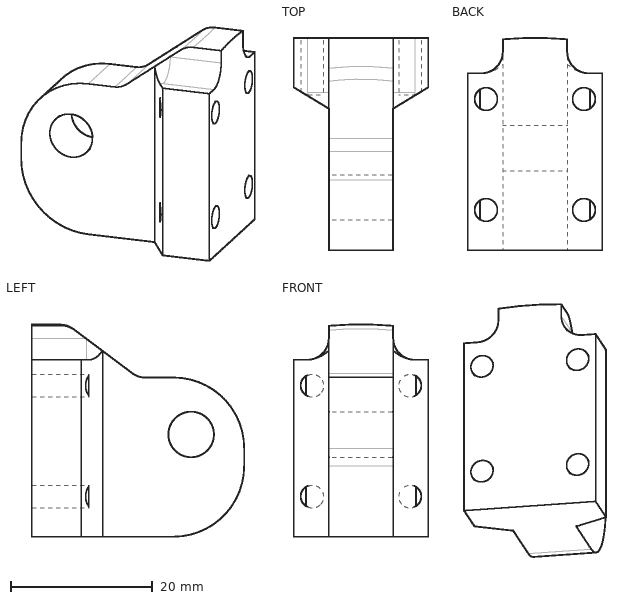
import cadquery as cq
import math

BASE_WIDTH = 19.0
BASE_HEIGHT = 25.0
BASE_FLANK_DEPTH = 7.0
BASE_ROOT_DEPTH = 10.0

LUG_WIDTH = 9.1
LUG_DEPTH = 30.0
LUG_HEIGHT = 22.5
NOSE_RADIUS = 10.0
PIVOT_DIAMETER = 6.4
PIVOT_DEPTH = 22.5
PIVOT_HEIGHT = 14.45

PEAK_HEIGHT = 30.0
RAMP_START_DEPTH = 5.0
RAMP_END_DEPTH = 15.0
CROWN_DROP = 0.2
BLEND_RADIUS = 3.0

SCREW_DIAMETER = 3.2
SCREW_DEPTH = 8.05
SCREW_SPACING = 13.8
SCREW_HEIGHTS = (5.7, 21.35)

HALF_BASE = BASE_WIDTH / 2
HALF_LUG = LUG_WIDTH / 2
RAMP_ANGLE = math.atan2(PEAK_HEIGHT - LUG_HEIGHT, RAMP_END_DEPTH - RAMP_START_DEPTH)


def base_block(height):
    """Prism with its front corners bevelled back from the lug sides."""
    outline = [
        (-HALF_BASE, 0),
        (-HALF_BASE, -BASE_FLANK_DEPTH),
        (-HALF_LUG, -BASE_ROOT_DEPTH),
        (HALF_LUG, -BASE_ROOT_DEPTH),
        (HALF_BASE, -BASE_FLANK_DEPTH),
        (HALF_BASE, 0),
    ]
    return cq.Workplane("XY").polyline(outline).close().extrude(height)


def ramp_plate(width):
    """Plate with the side profile of the lug, all corners still sharp."""
    profile = [
        (0, 0),
        (-LUG_DEPTH, 0),
        (-LUG_DEPTH, LUG_HEIGHT),
        (-RAMP_END_DEPTH, LUG_HEIGHT),
        (-RAMP_START_DEPTH, PEAK_HEIGHT),
        (0, PEAK_HEIGHT),
    ]
    return cq.Workplane("YZ").polyline(profile).close().extrude(width / 2, both=True)


def crowned_bar():
    """Bar along Y whose top is a shallow arc, peaking at x = 0."""
    side_height = PEAK_HEIGHT - CROWN_DROP
    return (
        cq.Workplane("XZ")
        .moveTo(-HALF_LUG, 0)
        .lineTo(HALF_LUG, 0)
        .lineTo(HALF_LUG, side_height)
        .threePointArc((0, PEAK_HEIGHT), (-HALF_LUG, side_height))
        .close()
        .extrude(LUG_DEPTH)
    )


def edges_across(depth, height):
    """Selector for the edges that cross the lug at a given depth and height."""
    reach = 2 * CROWN_DROP
    low = (-HALF_LUG, -depth - reach, height - reach)
    high = (HALF_LUG, -depth + reach, height + reach)
    return cq.selectors.BoxSelector(low, high)


def make_lug():
    """Lug with a rounded nose, a crowned top and a ramp blended at both ends."""
    lug = ramp_plate(LUG_WIDTH).intersect(crowned_bar())
    lug = lug.faces("<Y").edges("|X").fillet(NOSE_RADIUS)
    lug = lug.edges(edges_across(RAMP_END_DEPTH, LUG_HEIGHT)).fillet(BLEND_RADIUS)
    return lug.edges(edges_across(RAMP_START_DEPTH, PEAK_HEIGHT)).fillet(BLEND_RADIUS)


def make_shoulder():
    """Concave blend between the base top and the lug side at +X.

    The blend follows a ball resting on the base top. It rolls straight along the
    lug side until its contact reaches the ramp, then keeps touching the ramp edge,
    which takes its centre along an ellipse.
    """
    ball_height = BASE_HEIGHT + BLEND_RADIUS
    turn_depth = RAMP_START_DEPTH + (PEAK_HEIGHT - ball_height) / math.tan(RAMP_ANGLE)
    ellipse_length = BLEND_RADIUS / math.sin(RAMP_ANGLE)
    ellipse_sweep = 50.0
    ball_x = HALF_LUG + BLEND_RADIUS

    corner = cq.Workplane("XY").box(
        BLEND_RADIUS, BASE_ROOT_DEPTH, BLEND_RADIUS, centered=False
    )
    corner = corner.translate((HALF_LUG, -BASE_ROOT_DEPTH, BASE_HEIGHT))
    corner = corner.intersect(base_block(PEAK_HEIGHT)).intersect(ramp_plate(BASE_WIDTH))

    straight = (
        cq.Workplane("XZ").center(ball_x, ball_height).circle(BLEND_RADIUS).extrude(turn_depth)
    )
    path = cq.Workplane("XY", origin=(HALF_LUG, -turn_depth, ball_height)).ellipseArc(
        BLEND_RADIUS, ellipse_length, -ellipse_sweep, 0, startAtCurrent=False, sense=-1
    )
    turned = (
        cq.Workplane("XZ", origin=(ball_x, -turn_depth, ball_height))
        .circle(BLEND_RADIUS)
        .sweep(path)
    )
    return corner.cut(straight).cut(turned).solids(">Z")


def pivot_hole():
    """Cross hole through the lug."""
    return (
        cq.Workplane("YZ", origin=(-HALF_LUG, -PIVOT_DEPTH, PIVOT_HEIGHT))
        .circle(PIVOT_DIAMETER / 2)
        .extrude(LUG_WIDTH)
    )


def screw_holes():
    """Four flat-bottomed holes from the back face."""
    centres = [(side * SCREW_SPACING / 2, height) for side in (-1, 1) for height in SCREW_HEIGHTS]
    return cq.Workplane("XZ").pushPoints(centres).circle(SCREW_DIAMETER / 2).extrude(SCREW_DEPTH)


shoulder = make_shoulder()
body = base_block(BASE_HEIGHT).union(make_lug())
body = body.union(shoulder).union(shoulder.mirror("YZ"))
result = body.cut(pivot_hole()).cut(screw_holes()).solids()